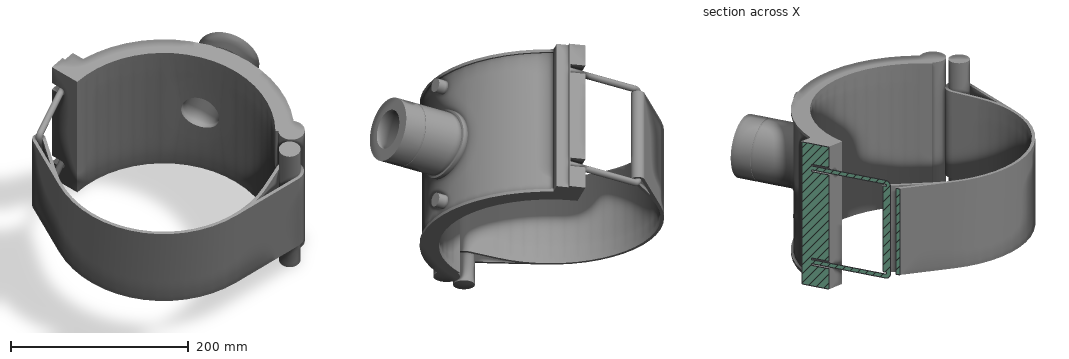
import cadquery as cq
import math


length = 176.0
saddle_inner_r = 125.8
saddle_outer_r = 144.5
saddle_wall_mid_r = (saddle_inner_r + saddle_outer_r) / 2
rim_outer_r = 147.5
rim_width = 3.5
saddle_start, saddle_end = 20, 160

spout_top = 220.5
spout_d = 73.5
port_d = 45.3
groove_d = 72.5
groove_width = 2.0
groove_y = 194.8
collar_d = 79.5
collar_outer_r = 150.2
terminal_d = 16.0
terminal_top = 156.5
terminal_z = 70.7

bead_x, bead_y = 135.0, 50.2
bead_d = 30.0
pin_x, pin_y = 143.0, 21.3
pin_d = 24.5

lug_outer_r = 162.7
lug_step_r = 159.0
lug_step_height = 18.8
lug_height = 32.5

rod_d = 7.5
rod_x = -140.5
rod_top = 71.8
rod_bar_y = -23.7
rod_z = 58.0
bend_r = 4.0
slot_width = 10.0

strap_outer_r = 128.0
strap_thickness = 4.0
strap_width = 106.5
strap_inner_r = strap_outer_r - strap_thickness


def polar(radius, angle, center=(0, 0)):
    a = math.radians(angle)
    return (center[0] + radius * math.cos(a), center[1] + radius * math.sin(a))


def prism(sketch, height):
    return sketch.extrude(height / 2, both=True)


def cylinder(diameter, height, x, y):
    return prism(cq.Workplane("XY").center(x, y).circle(diameter / 2), height)


def y_cylinder(diameter, y_start, y_end, x=0, z=0):
    circle = cq.Workplane("XZ", origin=(x, y_start, z)).circle(diameter / 2)
    return circle.extrude(y_start - y_end)


def ring_sector(inner_r, outer_r, start, end, height, center=(0, 0)):
    middle = (start + end) / 2
    sketch = (
        cq.Workplane("XY")
        .moveTo(*polar(inner_r, start, center))
        .lineTo(*polar(outer_r, start, center))
        .threePointArc(polar(outer_r, middle, center), polar(outer_r, end, center))
        .lineTo(*polar(inner_r, end, center))
        .threePointArc(polar(inner_r, middle, center), polar(inner_r, start, center))
        .close()
    )
    return prism(sketch, height)


def make_saddle():
    saddle = ring_sector(saddle_inner_r, saddle_outer_r, saddle_start, saddle_end, length)
    rim = ring_sector(saddle_inner_r, rim_outer_r, saddle_start, saddle_end, rim_width)
    rim_z = (length - rim_width) / 2
    for z in (-rim_z, rim_z):
        saddle = saddle.union(rim.translate((0, 0, z)))
    return saddle.union(cylinder(bead_d, length, bead_x, bead_y))


def make_lug():
    lug = cq.Workplane("XY").polyline([
        (saddle_wall_mid_r, 0),
        (lug_outer_r, 0),
        (lug_outer_r, -lug_step_height),
        (lug_step_r, -lug_step_height),
        (lug_step_r, -lug_height),
        (saddle_wall_mid_r, -lug_height),
    ]).close()
    return prism(lug, length).rotate((0, 0, 0), (0, 0, 1), saddle_end)


def cut_rod_slots(body):
    slot_length = lug_outer_r
    for z in (-rod_z, rod_z):
        slot = cq.Workplane("XY").box(
            slot_length, rod_top, slot_width, centered=(False, False, True)
        ).translate((rod_x - slot_length, 0, z))
        body = body.cut(slot).cut(y_cylinder(slot_width, 0, rod_top, rod_x, z))
    return body


def add_spout(body):
    collar = y_cylinder(collar_d, 0, spout_top).intersect(
        cylinder(2 * collar_outer_r, length, 0, 0)
    )
    spout = collar.union(y_cylinder(spout_d, 0, spout_top))
    groove = y_cylinder(spout_d, groove_y - groove_width / 2, groove_y + groove_width / 2)
    core = y_cylinder(groove_d, 0, spout_top)
    spout = spout.cut(groove.cut(core)).cut(cylinder(2 * saddle_wall_mid_r, length, 0, 0))
    for z in (-terminal_z, terminal_z):
        body = body.union(y_cylinder(terminal_d, saddle_wall_mid_r, terminal_top, 0, z))
    body = body.union(spout)
    return body.cut(y_cylinder(port_d, 0, spout_top))


def make_tie_rod():
    bar_end = rod_z - bend_r
    bend_start = rod_bar_y + bend_r
    bend_mid = bend_r * math.sin(math.radians(45))
    path = (
        cq.Workplane("YZ", origin=(rod_x, 0, 0))
        .moveTo(rod_top, rod_z)
        .lineTo(bend_start, rod_z)
        .threePointArc((bend_start - bend_mid, bar_end + bend_mid), (rod_bar_y, bar_end))
        .lineTo(rod_bar_y, -bar_end)
        .threePointArc((bend_start - bend_mid, -bar_end - bend_mid), (bend_start, -rod_z))
        .lineTo(rod_top, -rod_z)
    )
    profile = cq.Workplane("XZ", origin=(rod_x, rod_top, rod_z)).circle(rod_d / 2)
    return profile.sweep(path)


def make_leg(normal, center, loop_start_r, loop_end_r):
    leg = cq.Workplane("XY").polyline([
        polar(strap_inner_r, normal),
        polar(strap_outer_r, normal),
        polar(loop_end_r, normal, center),
        polar(loop_start_r, normal, center),
    ]).close()
    return prism(leg, strap_width)


def tangent_angles(center, loop_outer_r, side):
    distance = math.hypot(*center)
    direction = math.degrees(math.atan2(center[1], center[0])) % 360
    outer = math.degrees(math.acos((strap_outer_r - loop_outer_r) / distance))
    inner = math.degrees(math.acos((strap_inner_r + loop_outer_r) / distance))
    return direction + side * outer, direction + side * inner


def make_strap():
    rod_loop = ((rod_x, rod_bar_y), rod_d / 2, 1)
    pin_loop = ((pin_x, pin_y), pin_d / 2, -1)
    arc_ends = []
    pieces = []
    for center, loop_inner_r, side in (rod_loop, pin_loop):
        loop_outer_r = loop_inner_r + strap_thickness
        outer, inner = tangent_angles(center, loop_outer_r, side)
        arc_ends.append(inner)
        pieces.append(make_leg(outer, center, loop_inner_r, loop_outer_r))
        pieces.append(make_leg(inner, center, -loop_outer_r, -loop_inner_r))
        pieces.append(
            ring_sector(loop_inner_r, loop_outer_r, inner - side * 180, outer, strap_width, center)
        )
    start, end = arc_ends[0], arc_ends[1] % 360
    strap = ring_sector(strap_inner_r, strap_outer_r, start, end, strap_width)
    for piece in pieces:
        strap = strap.union(piece)
    return strap


body = cut_rod_slots(make_saddle().union(make_lug()))
body = add_spout(body)
body = body.union(make_strap())
body = body.union(cylinder(pin_d, length, pin_x, pin_y))
result = body.union(make_tie_rod())